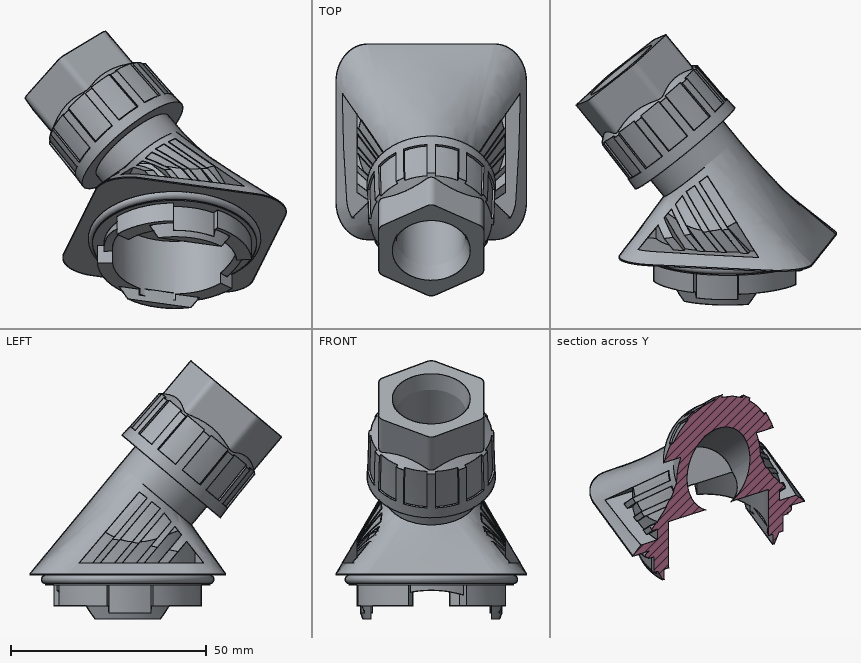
import cadquery as cq
import math


overall_depth = 64.35
overall_height = 66.0

tilt = 40.0
sin_tilt = math.sin(math.radians(tilt))
cos_tilt = math.cos(math.radians(tilt))

hex_sides = 6
hex_flats = 26.85
hex_corner_fillet = 2.25
hex_cone_start = 9.65
collar_top = 11.7
collar_top_radius = 16.0
collar_bottom = 25.9
collar_bottom_radius = 16.4
flange_top = 22.75
flange_top_radius = 16.25
grip_count = 12
grip_width = 2.25
grip_height = 0.5
bore_radius = 8.85
bore_mouth_radius = 9.95
bore_mouth_depth = 4.5
bore_end = 48.2

neck_radius = 11.95
neck_end = 32.0
plate_half_x = 24.35
plate_half_y = 25.0
plate_corner_x = 8.1
plate_corner_y = 9.65
plate_thickness = 0.3
back_patch_angle = 57.0
back_side_angle = 81.0
front_patch_angle = 32.0
front_side_angle = 50.0

window_outline = [(12.4, 3.1), (-3.0, 21.25), (-8.6, 16.8), (-19.4, 3.1)]
window_floor = window_outline[0][1]
window_inner_x = 7.7
rib_outer_x = 19.0
channel_depth = 0.2
channel_floor_radius = 18.8
rib_spans = [(9.0, 7.0), (3.35, 1.4), (-2.25, -4.2), (-7.7, -10.4)]
rib_length = 39.6

rim_radius = 22.05
rim_height = 2.2
step_radius = 21.0
step_bottom = -2.5
foot_outer_radius = 19.7
foot_web_radius = 18.0
foot_inner_radius = 15.85
foot_bottom = -7.85
latch_bottom = -9.65
lug_bottom = -11.2
cavity_top = 7.9
front_gap = (-107.3, -62.7)
side_gap = (-15.5, 19.1)
web_arch_radius = 29.05
web_arch_apex = -3.9
lug_inner_x = 15.4
lug_top_radius = 18.7
lug_bottom_radius = 17.5

overlap = 0.3
cut_margin = 3.3

half_hex_step = 180 / hex_sides
hex_corner = hex_flats / 2 / math.cos(math.radians(half_hex_step))
hex_reach = hex_corner - hex_corner_fillet * (1 / math.cos(math.radians(half_hex_step)) - 1)
face_center = (
    0,
    plate_half_y - overall_depth + hex_reach * cos_tilt,
    lug_bottom + overall_height - hex_reach * sin_tilt,
)


def tilted(shape):
    """Move a shape built on the Z axis, outer face at Z = 0, onto the gland axis."""
    return shape.rotate((0, 0, 0), (1, 0, 0), tilt).translate(face_center)


def revolved(profile):
    """Solid of revolution about Z from (radius, height) points."""
    return cq.Workplane("XZ").polyline(profile).close().revolve(360, (0, 0), (0, 1))


def cylinder(radius, bottom, top):
    return cq.Workplane("XY").workplane(offset=bottom).circle(radius).extrude(top - bottom)


def sector(inner, outer, bottom, top, angles):
    """Ring segment between two angles in degrees."""
    start, end = (math.radians(a) for a in angles)
    middle = (start + end) / 2

    def at(radius, angle):
        return (radius * math.cos(angle), radius * math.sin(angle))

    return (
        cq.Workplane("XY")
        .workplane(offset=bottom)
        .moveTo(*at(inner, start))
        .lineTo(*at(outer, start))
        .threePointArc(at(outer, middle), at(outer, end))
        .lineTo(*at(inner, end))
        .threePointArc(at(inner, middle), at(inner, start))
        .close()
        .extrude(top - bottom)
    )


def half_turn_pair(shape):
    return shape.union(shape.rotate((0, 0, 0), (0, 0, 1), 180))


def make_nut():
    hexagon = (
        cq.Workplane("XY")
        .polygon(hex_sides, 2 * hex_corner)
        .extrude(-collar_top - overlap)
        .rotate((0, 0, 0), (0, 0, 1), half_hex_step)
        .edges("|Z")
        .fillet(hex_corner_fillet)
    )
    cone_radius = hex_flats / 2
    core = [
        (0, -hex_cone_start),
        (cone_radius, -hex_cone_start),
        (collar_top_radius, -collar_top),
        (flange_top_radius, -flange_top),
        (collar_bottom_radius, -collar_bottom),
        (0, -collar_bottom),
    ]
    cone_slope = (collar_top - hex_cone_start) / (collar_top_radius - cone_radius)
    reach = collar_bottom_radius + overlap
    panel_top_radius = collar_top_radius - grip_height
    panel_top = collar_top - cone_slope * grip_height - overlap
    panels = revolved([
        (panel_top_radius, -panel_top),
        (reach, -panel_top),
        (reach, -flange_top),
        (flange_top_radius - grip_height, -flange_top),
    ])
    for i in range(grip_count // 2):
        grip_pair = cq.Workplane("XY").box(grip_width, 2 * reach, 2 * collar_bottom)
        panels = panels.cut(grip_pair.rotate((0, 0, 0), (0, 0, 1), i * 360 / grip_count))
    neck = cylinder(neck_radius, -neck_end, -collar_bottom + overlap)
    return hexagon.union(revolved(core).cut(panels)).union(neck)


def plate_edges(inset):
    """Rounded plate outline as eight edges, starting at the back left corner."""
    half_x = plate_half_x - inset
    flat_x = half_x - plate_corner_x
    flat_y = plate_half_y - plate_corner_y

    def at(x, y):
        return cq.Vector(x, y, plate_thickness)

    def corner(x, y, start_angle):
        return cq.Edge.makeEllipse(
            plate_corner_x,
            plate_corner_y,
            at(x, y),
            angle1=start_angle,
            angle2=start_angle + 90,
        )

    def side(start, end):
        return cq.Edge.makeLine(at(*start), at(*end))

    return [
        corner(-flat_x, flat_y, 90),
        side((-half_x, flat_y), (-half_x, -flat_y)),
        corner(-flat_x, -flat_y, 180),
        side((-flat_x, -plate_half_y), (flat_x, -plate_half_y)),
        corner(flat_x, -flat_y, 270),
        side((half_x, -flat_y), (half_x, flat_y)),
        corner(flat_x, flat_y, 0),
        side((flat_x, plate_half_y), (-flat_x, plate_half_y)),
    ]


def neck_edges(inset):
    """Neck end circle as eight arcs that match the plate edges."""
    radius = neck_radius - inset
    center_y = face_center[1] + neck_end * sin_tilt
    center_z = face_center[2] - neck_end * cos_tilt

    def at(angle):
        across = -radius * math.sin(math.radians(angle))
        back = radius * math.cos(math.radians(angle))
        return cq.Vector(across, center_y + back * cos_tilt, center_z + back * sin_tilt)

    left = sorted([back_side_angle, back_patch_angle, 180 - front_side_angle, 180 - front_patch_angle])
    angles = left + [360 - a for a in reversed(left)] + [left[0] + 360]
    return [cq.Edge.makeThreePointArc(at(a), at((a + b) / 2), at(b)) for a, b in zip(angles, angles[1:])]


def make_flare(inset=0.0):
    """Ruled solid between the plate outline and the neck end; inset narrows it."""
    lower = plate_edges(inset)
    upper = neck_edges(inset)
    faces = [cq.Face.makeRuledSurface(a, b) for a, b in zip(lower, upper)]
    faces.append(cq.Face.makeFromWires(cq.Wire.assembleEdges(lower)))
    faces.append(cq.Face.makeFromWires(cq.Wire.assembleEdges(upper)))
    return cq.Workplane(cq.Solid.makeSolid(cq.Shell.makeShell(faces)).fix())


def make_plate():
    outline = cq.Wire.assembleEdges(plate_edges(0.0))
    return cq.Workplane(cq.Solid.extrudeLinear(outline, [], cq.Vector(0, 0, -plate_thickness)))


def make_window_cutter():
    """Material removed by both windows, with the ribs and the recessed floor left standing."""
    prism = cq.Workplane("YZ").polyline(window_outline).close().extrude(plate_half_x + overlap, both=True)
    cutter = prism.cut(cq.Workplane("XY").box(2 * window_inner_x, 2 * overall_height, 2 * overall_height))
    floor = make_flare(channel_depth).intersect(cylinder(channel_floor_radius, 0, face_center[2]))
    cutter = cutter.cut(floor)
    lean = (-rib_length * sin_tilt, rib_length * cos_tilt)
    for back, front in rib_spans:
        rib = (
            cq.Workplane("YZ")
            .polyline([
                (back - lean[0], window_floor - lean[1]),
                (front - lean[0], window_floor - lean[1]),
                (front + lean[0], window_floor + lean[1]),
                (back + lean[0], window_floor + lean[1]),
            ])
            .close()
            .extrude(rib_outer_x, both=True)
        )
        cutter = cutter.cut(rib)
    return cutter


def make_lug():
    """Conical lug on the +X side, flat inside, with the latch face set back into it."""
    cone = revolved([
        (0, foot_bottom + overlap),
        (lug_top_radius, foot_bottom + overlap),
        (lug_top_radius, foot_bottom),
        (lug_bottom_radius, lug_bottom),
        (0, lug_bottom),
    ])
    reach = 2 * foot_outer_radius
    outside = cq.Workplane("XY").box(reach, reach, reach).translate((lug_inner_x + reach / 2, 0, 0))
    latch_face = sector(foot_web_radius, foot_outer_radius, latch_bottom, 0, side_gap)
    return cone.intersect(outside).cut(latch_face)


def make_foot():
    sector_inner = foot_inner_radius - cut_margin
    sector_outer = foot_outer_radius + cut_margin
    rim_round = rim_height / 2
    rim = (
        cq.Workplane("XZ")
        .lineTo(rim_radius - rim_round, 0)
        .threePointArc((rim_radius, -rim_round), (rim_radius - rim_round, -rim_height))
        .lineTo(0, -rim_height)
        .close()
        .revolve(360, (0, 0), (0, 1))
    )
    step = cylinder(step_radius, step_bottom, -rim_round)
    wall = cylinder(foot_outer_radius, foot_bottom, step_bottom + overlap)
    for gap in (front_gap, side_gap):
        opening = sector(sector_inner, sector_outer, foot_bottom, step_bottom, gap)
        wall = wall.cut(half_turn_pair(opening))
    web = sector(sector_inner, foot_web_radius, foot_bottom, step_bottom + overlap, front_gap)
    arch = (
        cq.Workplane("XZ")
        .center(0, web_arch_apex - web_arch_radius)
        .circle(web_arch_radius)
        .extrude(foot_outer_radius, both=True)
    )
    latch = sector(sector_inner, foot_web_radius, latch_bottom, step_bottom + overlap, side_gap)
    return rim.union(step).union(wall).union(half_turn_pair(web.cut(arch))).union(half_turn_pair(latch))


def make_bore():
    return revolved([
        (0, 0),
        (bore_mouth_radius, 0),
        (bore_radius, -bore_mouth_depth),
        (bore_radius, -bore_end),
        (0, -bore_end),
    ])


hood = make_flare().union(make_plate()).cut(make_window_cutter())
body = hood.union(tilted(make_nut())).union(make_foot())
body = body.cut(cylinder(foot_inner_radius, lug_bottom, cavity_top)).cut(tilted(make_bore()))
result = body.union(half_turn_pair(make_lug()))